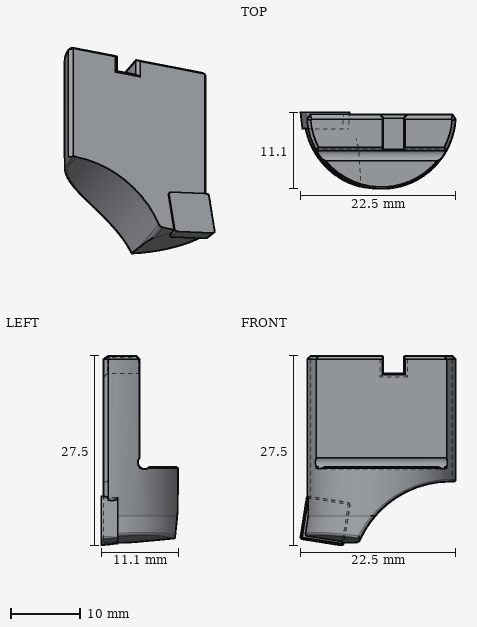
import cadquery as cq
import math

radius = 10.8
total_height = 27.45
tang_depth = 5.25
top_chamfer = 0.52
back_chamfer = 0.71

shoulder_z = 11.42
shoulder_chamfer = 0.27
groove_radius = 0.95
groove_y = -5.95
groove_z = 12.03

notch_x = 1.75
notch_width = 2.95
notch_depth = 2.53
notch_chamfer = 0.2
notch_back_chamfer = 0.52

sweep_radius = 14.25
sweep_x = 9.9
sweep_top = 9.23
edge_fillet = 0.38

nose_z = 4.28
lean_angle = 9.0
end_clearance = 6.0
end_pivot = (-10.38, -2.2, 1.32)
tip_z = 0.38
tip_radius = 0.75

insert_side = 6.35
insert_corner = 0.38
insert_clearance = 6.5
insert_back = 0.33
insert_thickness = 2.4
insert_left = -11.73

reach = 3 * radius


def block(x0, x1, y0, y1, z0, z1):
    """Box between two opposite corners."""
    return cq.Workplane("XY").box(x1 - x0, y1 - y0, z1 - z0, centered=False).translate((x0, y0, z0))


def half_disc(height):
    """Upright half cylinder with its two back corners bevelled."""
    corner_x = radius - top_chamfer
    side_x = math.sqrt(radius**2 - back_chamfer**2)
    return (
        cq.Workplane("XY")
        .moveTo(-corner_x, 0)
        .lineTo(corner_x, 0)
        .lineTo(side_x, -back_chamfer)
        .threePointArc((0, -radius), (-side_x, -back_chamfer))
        .close()
        .extrude(height)
    )


def curved_edges(body, keep):
    """Curved edges of a body whose middle passes the keep test."""
    edges = [e for e in body.edges().vals() if e.geomType() != "LINE" and keep(e.Center())]
    return body.newObject(edges)


def make_shank():
    """Half-round shank with a bevelled top rim and the sweep cut under it."""
    shank = half_disc(shoulder_z - nose_z)
    shank = shank.faces(">Z").edges("%CIRCLE").chamfer(shoulder_chamfer).translate((0, 0, nose_z))
    shank = shank.cut(sweep_cutter())
    rim_z = shoulder_z - shoulder_chamfer

    def on_sweep(point):
        return point.y < -back_chamfer and point.x > 0 and nose_z + edge_fillet < point.z < rim_z - edge_fillet

    return curved_edges(shank, on_sweep).fillet(edge_fillet)


def make_tang():
    """Flat tang with a bevelled top and an open notch."""
    base_z = shoulder_z - shoulder_chamfer
    slab = half_disc(total_height - base_z).translate((0, 0, base_z))
    slab = slab.intersect(block(-reach, reach, -tang_depth, reach, 0, total_height))
    slab = slab.faces(">Z").edges("not(>Y)").chamfer(top_chamfer)
    back_bevel = (
        cq.Workplane("YZ")
        .moveTo(-back_chamfer, total_height)
        .lineTo(0, total_height)
        .lineTo(0, total_height - top_chamfer)
        .close()
        .extrude(reach, both=True)
    )
    slab = slab.cut(back_bevel)
    return slab.cut(notch_cutter())


def notch_section(y, growth):
    """Notch outline at depth y, widened and deepened by growth."""
    half = notch_width / 2 + growth
    floor = total_height - notch_depth - growth
    corners = [(-half, floor), (half, floor), (half, total_height), (-half, total_height)]
    return cq.Wire.makePolygon([(notch_x + x, y, z) for x, z in corners], close=True)


def notch_cutter():
    """Square notch through the tang with bevelled front, back and top edges."""
    straight = notch_section(-tang_depth, 0), notch_section(0, 0)
    front = notch_section(-tang_depth, notch_chamfer), notch_section(notch_chamfer - tang_depth, 0)
    back = notch_section(-notch_back_chamfer, 0), notch_section(0, notch_back_chamfer)
    cutter = cq.Workplane("XY")
    for sections in (straight, front, back):
        cutter = cutter.add(cq.Solid.makeLoft(list(sections), True))
    top_half = notch_width / 2 + notch_chamfer
    top_bevel = (
        cq.Workplane("XZ")
        .moveTo(notch_x - top_half, total_height)
        .lineTo(notch_x + top_half, total_height)
        .lineTo(notch_x, total_height - top_half)
        .close()
        .extrude(tang_depth)
    )
    return cutter.combine().union(top_bevel)


def make_nose():
    """Shank section carried down to the tip, leaning toward -X."""
    drop = nose_z
    shift = -drop * math.tan(math.radians(lean_angle))
    nose = (
        cq.Workplane("XY", origin=(0, 0, nose_z)).circle(radius)
        .workplane(offset=-drop).center(shift, 0).circle(radius)
        .loft(ruled=True)
    )
    nose = nose.intersect(block(-reach, reach, -reach, 0, tip_z, nose_z))
    nose = nose.cut(end_cutter()).cut(sweep_cutter())

    def on_outer_rim(point):
        above_tip = tip_z + tip_radius < point.z < nose_z - edge_fillet
        return above_tip and point.y < end_pivot[1]

    nose = curved_edges(nose, on_outer_rim).fillet(edge_fillet)
    return nose.edges("|Y").edges("<Z").edges(">X").fillet(tip_radius)


def end_cutter():
    """Half space under the sloping end face of the nose."""
    slope_x = math.tan(math.radians(lean_angle))
    slope_y = math.tan(math.radians(end_clearance))
    plane = cq.Plane(origin=end_pivot, xDir=(1, 0, -slope_x), normal=(slope_x, slope_y, 1))
    return cq.Workplane(plane).rect(2 * reach, 2 * reach).extrude(-reach)


def sweep_cutter():
    """Space under the concave sweep: an arc ending in a level line."""
    centre_z = sweep_top - sweep_radius
    diagonal = sweep_radius / math.sqrt(2)
    return (
        cq.Workplane("XZ")
        .moveTo(sweep_x, sweep_top)
        .threePointArc((sweep_x - diagonal, centre_z + diagonal), (sweep_x - sweep_radius, centre_z))
        .lineTo(reach, centre_z)
        .lineTo(reach, sweep_top)
        .close()
        .extrude(reach, both=True)
    )


def make_groove():
    """Round relief groove along X."""
    return (
        cq.Workplane("YZ")
        .center(groove_y, groove_z)
        .transformed(rotate=(0, 0, 180))
        .circle(groove_radius)
        .extrude(reach, both=True)
    )


def make_insert():
    """Tilted square insert with relieved sides and rounded corners."""
    tilt = math.radians(lean_angle)
    span = insert_side * (math.cos(tilt) + math.sin(tilt))
    round_loss = insert_corner * (math.cos(tilt) + math.sin(tilt) - 1)
    centre_x = insert_left + span / 2 - round_loss
    centre_z = span / 2 - round_loss
    return (
        cq.Workplane("XZ")
        .sketch().rect(insert_side, insert_side).vertices().fillet(insert_corner).finalize()
        .extrude(insert_thickness, taper=insert_clearance)
        .rotate((0, 0, 0), (0, 1, 0), lean_angle)
        .translate((centre_x, insert_back, centre_z))
    )


insert = make_insert()
holder = make_shank().union(make_tang()).cut(make_groove()).union(make_nose()).cut(insert)

result = cq.Compound.makeCompound([holder.val(), insert.val()])